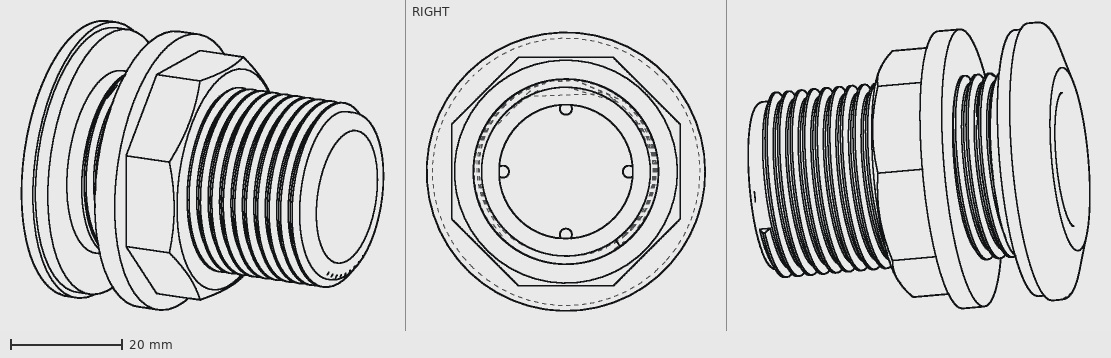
import cadquery as cq
import math


total_length = 56.0
head_diameter = 50.0
head_face_diameter = 33.0
head_thickness = 5.5
head_cone_angle = 20.0
head_rim_fillet = 1.0
neck_diameter = 33.1
neck_end = 11.0
bore_diameter = 24.0
bore_mouth_fillet = 0.5
end_fillet = 1.0

stud_count = 4
stud_radius = 1.1
stud_center_radius = 11.3
stud_x = 11.9

thread_pitch = 25.4 / 11
thread_major_diameter = 33.249
thread_depth = 1.479
thread_flank_angle = 27.5
thread_start = 10.0
thread_turns = 19.1
thread_overlap = 0.15

gasket_diameter = 48.0
gasket_thickness = 2.5

nut_start = 18.0
nut_flange_diameter = 50.0
nut_flange_thickness = 4.0
nut_height = 14.0
nut_sides = 8
nut_across_flats = 41.0
nut_end_diameter = 40.0
nut_chamfer_angle = 30.0

head_radius = head_diameter / 2
core_radius = thread_major_diameter / 2 - thread_depth


def disc(start, length, diameter):
    """Solid cylinder along X."""
    return cq.Workplane("YZ", origin=(start, 0, 0)).circle(diameter / 2).extrude(length)


def make_thread():
    """Right-handed helical ridge whose base is sunk slightly into the core."""
    flank_slope = math.tan(math.radians(thread_flank_angle))
    crest_half = (thread_pitch - 2 * thread_depth * flank_slope) / 4
    base_half = crest_half + (thread_depth + thread_overlap) * flank_slope
    crest_radius = thread_major_diameter / 2
    base_radius = core_radius - thread_overlap
    path = cq.Wire.makeHelix(thread_pitch, thread_turns * thread_pitch, core_radius)
    ridge = (
        cq.Workplane("XZ")
        .polyline(
            [
                (base_radius, -base_half),
                (crest_radius, -crest_half),
                (crest_radius, crest_half),
                (base_radius, base_half),
            ]
        )
        .close()
        .sweep(cq.Workplane(path), isFrenet=True)
    )
    ridge = ridge.rotate((0, 0, 0), (0, 1, 0), 90).translate((thread_start, 0, 0))
    return ridge.cut(disc(0, neck_end, head_diameter))


def make_head():
    """Disc with a conical face and a rounded rim."""
    face_radius = head_face_diameter / 2
    rim_start = (head_radius - face_radius) * math.tan(math.radians(head_cone_angle))
    head = (
        cq.Workplane("XY")
        .polyline(
            [
                (0, 0),
                (0, face_radius),
                (rim_start, head_radius),
                (head_thickness, head_radius),
                (head_thickness, 0),
            ]
        )
        .close()
        .revolve(360, (0, 0, 0), (1, 0, 0))
    )
    rim = cq.selectors.BoxSelector(
        (rim_start / 2, -head_radius, -head_radius),
        ((rim_start + head_thickness) / 2, head_radius, head_radius),
    )
    return head.edges(rim).fillet(head_rim_fillet)


def make_studs():
    """Balls sunk partly into the bore wall, evenly spaced around it."""
    stud = cq.Workplane("XY", origin=(stud_x, 0, stud_center_radius)).sphere(stud_radius)
    return [stud.rotate((0, 0, 0), (1, 0, 0), i * 360 / stud_count) for i in range(stud_count)]


def make_fitting(thread):
    """Head, neck, threaded tube and bore in one solid."""
    tube = disc(0, total_length, 2 * core_radius).faces(">X").edges().fillet(end_fillet)
    tube = tube.cut(disc(0, total_length, bore_diameter))
    neck = disc(head_thickness, neck_end - head_thickness, neck_diameter)
    collar = make_head().union(neck)
    collar = collar.cut(disc(0, neck_end, bore_diameter))
    bore_edge = cq.selectors.RadiusNthSelector(0)
    fitting = tube.union(collar).faces("<X").edges(bore_edge).fillet(bore_mouth_fillet)
    for stud in make_studs():
        fitting = fitting.union(stud)
    return fitting.union(thread)


def make_gasket():
    """Flat ring on the neck, against the back of the head."""
    ring = disc(head_thickness, gasket_thickness, gasket_diameter)
    return ring.cut(disc(head_thickness, gasket_thickness, neck_diameter))


def make_nut(fitting):
    """Octagonal nut with a round flange and a thread that matches the fitting."""
    nut_end = nut_start + nut_height
    across_corners = nut_across_flats / math.cos(math.pi / nut_sides)
    corner_radius = across_corners / 2
    end_radius = nut_end_diameter / 2
    chamfer_length = (corner_radius - end_radius) * math.tan(math.radians(nut_chamfer_angle))
    octagon = (
        cq.Workplane("YZ", origin=(nut_start, 0, 0))
        .transformed(rotate=(0, 0, 180 / nut_sides))
        .polygon(nut_sides, across_corners)
        .extrude(nut_height)
    )
    envelope = (
        cq.Workplane("XY")
        .polyline(
            [
                (nut_start, 0),
                (nut_start, corner_radius),
                (nut_end - chamfer_length, corner_radius),
                (nut_end, end_radius),
                (nut_end, 0),
            ]
        )
        .close()
        .revolve(360, (0, 0, 0), (1, 0, 0))
    )
    flange = disc(nut_start, nut_flange_thickness, nut_flange_diameter)
    nut = octagon.intersect(envelope).union(flange)
    return nut.cut(disc(nut_start, nut_height, 2 * core_radius)).cut(fitting)


fitting = make_fitting(make_thread())
gasket = make_gasket()
nut = make_nut(fitting)

result = cq.Compound.makeCompound([fitting.val(), gasket.val(), nut.val()])